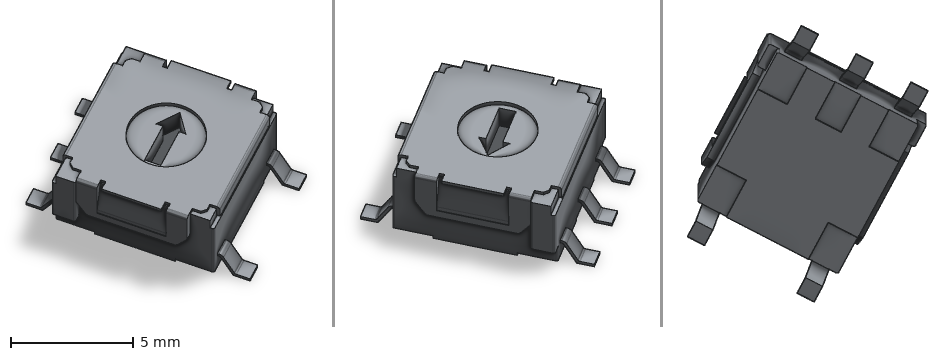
import cadquery as cq
import math

HOUSING_BOTTOM = 0.08
HOUSING_LENGTH = 7.08
HOUSING_WIDTH = 6.53
LEDGE_Z = 3.12
LEDGE_DEPTH = 0.18
EDGE_RADIUS = 0.09

POST_SPAN = 7.3
POST_BOTTOM = 1.0
POST_LENGTH = 1.06

NOTCH_HEIGHT = 0.13
NOTCH_INNER_X = 1.8
NOTCH_INNER_Y = 1.9
MIDDLE_NOTCH_WIDTH = 1.2

TOP_Z = 3.75
SHEET = 0.14
COVER_LENGTH = 7.0
COVER_WIDTH = 7.23
SIDE_FLAP_LENGTH = 5.18
END_FLAP_LENGTH = 4.96
CUTOUT_X = 3.06
CUTOUT_Y = 3.07
CUTOUT_CHAMFER = 0.2
END_FLAP_BOTTOM = 1.67
END_FLAP_CORNER_X = 0.48
END_FLAP_CORNER_Z = 0.64
FLAP_CORNER_RADIUS = 0.1

WINDOW_WIDTH = 3.08
WINDOW_BOTTOM = 2.02
LATCH_LIP_TOP = 2.21
LATCH_INSET = 0.03
SLOT_WIDTH = 0.21
SLOT_END_Y = 3.2

ROTOR_DIAMETER = 3.3
ROTOR_DEPTH = 0.18
ARROW_DEPTH = 1.0
ARROW_REACH = 1.41
ARROW_STEM_WIDTH = 0.72
ARROW_HEAD_WIDTH = 1.32
ARROW_HEAD_BASE = 0.49

LEAD_SPAN = 10.0
LEAD_PITCH = 2.54
LEAD_WIDTH = 0.79
LEAD_SHEET = 0.14
LEAD_SHOULDER_Z = 1.1
LEAD_FOOT_LENGTH = 0.67
LEAD_ANGLE = 58.5
LEAD_OUTER_RADIUS = 0.25
LEAD_INNER_RADIUS = 0.1

SHEET_BOTTOM = TOP_Z - SHEET
HALF_LENGTH = HOUSING_LENGTH / 2
HALF_WIDTH = HOUSING_WIDTH / 2
UPPER_LENGTH = HOUSING_LENGTH - 2 * LEDGE_DEPTH


def block(x_range, y_range, z_range):
    """Box between the given limits along each axis."""
    limits = (x_range, y_range, z_range)
    sizes = [high - low for low, high in limits]
    corner = tuple(low for low, high in limits)
    return cq.Workplane("XY").box(*sizes, centered=False).translate(corner)


def centered_block(length, width, bottom, top):
    """Box centred on the Z axis, from bottom to top."""
    return block((-length / 2, length / 2), (-width / 2, width / 2), (bottom, top))


def mirrored_ends(solid):
    """The solid together with its mirror image across the XZ plane."""
    return solid.union(solid.mirror("XZ"))


def make_housing():
    base = centered_block(HOUSING_LENGTH, HOUSING_WIDTH, HOUSING_BOTTOM, SHEET_BOTTOM)
    base = base.edges("|Z").fillet(EDGE_RADIUS)
    post_x = (-HALF_LENGTH, POST_LENGTH - HALF_LENGTH)
    posts = block(post_x, (-POST_SPAN / 2, POST_SPAN / 2), (POST_BOTTOM, SHEET_BOTTOM))
    posts = posts.edges("|Z").fillet(EDGE_RADIUS)
    housing = base.union(posts)

    for side in (-1, 1):
        ledge_x = sorted((side * UPPER_LENGTH / 2, side * HALF_LENGTH))
        ledge = block(ledge_x, (-POST_SPAN / 2, POST_SPAN / 2), (LEDGE_Z, SHEET_BOTTOM))
        housing = housing.cut(ledge)

    notch_z = (HOUSING_BOTTOM, HOUSING_BOTTOM + NOTCH_HEIGHT)
    for side in (-1, 1):
        for end in (-1, 1):
            notch_x = sorted((side * NOTCH_INNER_X, side * HALF_LENGTH))
            notch_y = sorted((end * NOTCH_INNER_Y, end * HALF_WIDTH))
            housing = housing.cut(block(notch_x, notch_y, notch_z))
    middle_y = (-MIDDLE_NOTCH_WIDTH / 2, MIDDLE_NOTCH_WIDTH / 2)
    return housing.cut(block((-HALF_LENGTH, -NOTCH_INNER_X), middle_y, notch_z))


def make_cover_shell():
    """Sheet bent down on all four sides, with its corners cut away."""
    side_shell = centered_block(COVER_LENGTH, SIDE_FLAP_LENGTH, LEDGE_Z, TOP_Z)
    side_shell = side_shell.edges("|Y and >Z").fillet(SHEET)
    side_shell = side_shell.edges("|X and <Z").fillet(FLAP_CORNER_RADIUS)

    half_flap = END_FLAP_LENGTH / 2
    corner_z = END_FLAP_BOTTOM + END_FLAP_CORNER_Z
    end_shell = (
        cq.Workplane("XZ")
        .moveTo(-half_flap, TOP_Z)
        .lineTo(-half_flap, corner_z)
        .lineTo(END_FLAP_CORNER_X - half_flap, END_FLAP_BOTTOM)
        .lineTo(half_flap - END_FLAP_CORNER_X, END_FLAP_BOTTOM)
        .lineTo(half_flap, corner_z)
        .lineTo(half_flap, TOP_Z)
        .close()
        .extrude(COVER_WIDTH / 2, both=True)
    )
    end_shell = end_shell.edges("|X and >Z").fillet(SHEET)

    corner_plate = centered_block(2 * CUTOUT_X, 2 * CUTOUT_Y, SHEET_BOTTOM, TOP_Z)
    corner_plate = corner_plate.edges("|Z").chamfer(CUTOUT_CHAMFER)
    return side_shell.union(end_shell).union(corner_plate)


def make_window(end_y):
    """Opening through an end flap and its slots, on the -Y end."""
    half_window = WINDOW_WIDTH / 2
    window = block((-half_window, half_window), (-end_y, -HALF_WIDTH), (WINDOW_BOTTOM, TOP_Z))
    for inner_x in (-half_window, half_window - SLOT_WIDTH):
        slot_x = (inner_x, inner_x + SLOT_WIDTH)
        window = window.union(block(slot_x, (-end_y, -SLOT_END_Y), (SHEET_BOTTOM, TOP_Z)))
    return window


def make_latch_and_tab(end_y):
    """Tapered latch that fills the window and the flat tab above it, on the -Y end."""
    lip_y = LATCH_INSET - end_y
    latch = (
        cq.Workplane("YZ")
        .moveTo(-HALF_WIDTH, WINDOW_BOTTOM)
        .lineTo(lip_y, WINDOW_BOTTOM)
        .lineTo(lip_y, LATCH_LIP_TOP)
        .lineTo(-HALF_WIDTH, SHEET_BOTTOM)
        .close()
        .extrude(WINDOW_WIDTH / 2, both=True)
    )
    half_tab = WINDOW_WIDTH / 2 - SLOT_WIDTH
    tab = block((-half_tab, half_tab), (-end_y, -SLOT_END_Y), (SHEET_BOTTOM, TOP_Z))
    return latch.union(tab)


def make_rotor_recess():
    top_plane = cq.Workplane("XY", origin=(0, 0, TOP_Z))
    recess = top_plane.circle(ROTOR_DIAMETER / 2).extrude(-ROTOR_DEPTH)
    half_stem = ARROW_STEM_WIDTH / 2
    half_head = ARROW_HEAD_WIDTH / 2
    arrow = (
        top_plane.moveTo(-half_stem, -ARROW_REACH)
        .lineTo(half_stem, -ARROW_REACH)
        .lineTo(half_stem, ARROW_HEAD_BASE)
        .lineTo(half_head, ARROW_HEAD_BASE)
        .lineTo(0, ARROW_REACH)
        .lineTo(-half_head, ARROW_HEAD_BASE)
        .lineTo(-half_stem, ARROW_HEAD_BASE)
        .close()
        .extrude(-ROTOR_DEPTH - ARROW_DEPTH)
    )
    return recess.union(arrow)


def make_lead():
    """Lead on the -X side, centred on y = 0, with its foot on z = 0."""
    angle = math.radians(LEAD_ANGLE)
    tip_x = -LEAD_SPAN / 2
    root_x = EDGE_RADIUS - HALF_LENGTH
    shoulder_bottom = LEAD_SHOULDER_Z - LEAD_SHEET
    rise_run = shoulder_bottom / math.tan(angle)
    bend_shift = LEAD_SHEET * math.tan(angle / 2)
    heel_top_x = tip_x + LEAD_FOOT_LENGTH
    heel_bottom_x = heel_top_x + bend_shift
    lead = (
        cq.Workplane("XZ")
        .moveTo(tip_x, 0)
        .lineTo(heel_bottom_x, 0)
        .lineTo(heel_bottom_x + rise_run, shoulder_bottom)
        .lineTo(root_x, shoulder_bottom)
        .lineTo(root_x, LEAD_SHOULDER_Z)
        .lineTo(heel_top_x + rise_run, LEAD_SHOULDER_Z)
        .lineTo(heel_top_x, LEAD_SHEET)
        .lineTo(tip_x, LEAD_SHEET)
        .close()
        .extrude(LEAD_WIDTH / 2, both=True)
    )

    def bend_edge(x, z):
        return cq.selectors.NearestToPointSelector((x, 0, z))

    lead = lead.edges(bend_edge(heel_top_x + rise_run, LEAD_SHOULDER_Z)).fillet(LEAD_OUTER_RADIUS)
    lead = lead.edges(bend_edge(heel_bottom_x + rise_run, shoulder_bottom)).fillet(LEAD_INNER_RADIUS)
    return lead.edges(bend_edge(heel_top_x, LEAD_SHEET)).fillet(LEAD_INNER_RADIUS)


result = make_housing().union(make_cover_shell())
result = result.cut(mirrored_ends(make_window(COVER_WIDTH / 2)))
result = result.union(mirrored_ends(make_latch_and_tab(COVER_WIDTH / 2)))
result = result.cut(make_rotor_recess())

left_lead = make_lead()
right_lead = left_lead.mirror("YZ")
for row in (-1, 0, 1):
    result = result.union(left_lead.translate((0, row * LEAD_PITCH, 0)))
for row in (-1, 1):
    result = result.union(right_lead.translate((0, row * LEAD_PITCH, 0)))